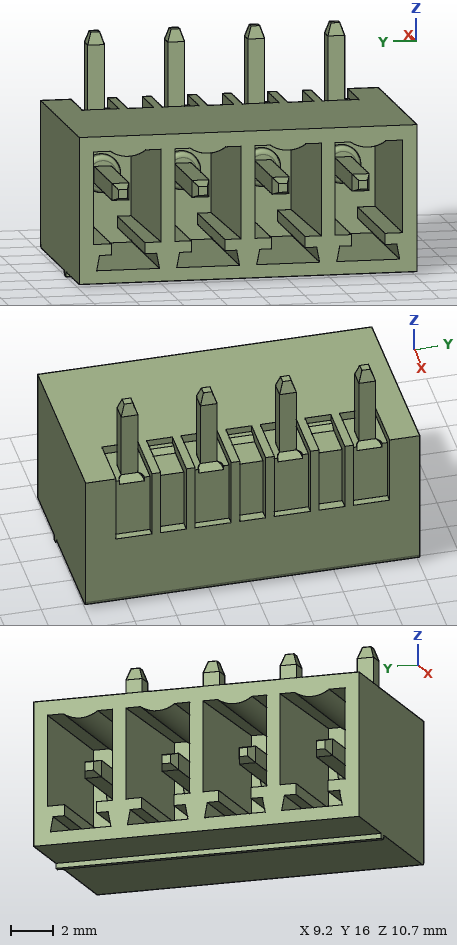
import cadquery as cq


DEPTH = 9.2
WIDTH = 16.04
HEIGHT = 6.98
REAR_FILLET = 0.22

RIDGE_X = 3.16
RIDGE_WIDTH = 0.42
RIDGE_HEIGHT = 0.24
RIDGE_CHAMFER = 0.16

PIN_COUNT = 4
PITCH = 3.8
PIN_WIDTH = 0.8
PIN_TIP_WIDTH = 0.42
PIN_TAPER = 0.58
PIN_TOP_Z = HEIGHT + 3.43
PIN_LEG_X = 7.97
PIN_CONTACT_Z = 3.98
PIN_FRONT_X = 1.22

CAVITY_DEPTH = 6.51
CAVITY_TOP_Z = 6.27
CAVITY_HALF_FRONT = 1.57
CAVITY_HALF_BACK = 1.45
CAVITY_HALF_END = 1.64
RAIL_TOP_Z = 1.88
RAIL_BOTTOM_Z = 1.35
RAIL_GAP = 1.59
KEYWAY_FLOOR_Z = 0.63
KEYWAY_TOP_WIDTH = 2.71
KEYWAY_FLOOR_WIDTH = 2.98
KEY_RADIUS = 1.46
KEY_DROP = 0.27

COLLAR_DIAMETER = 1.8
COLLAR_HEIGHT = 0.48
COLLAR_FILLET = 0.24

SLOT_FRONT_X = CAVITY_DEPTH
REAR_RECESS_Z = PIN_CONTACT_Z - PIN_WIDTH / 2
PIN_SLOT_WIDTH = 1.73
PIN_SLOT_DEPTH = 0.4
PIN_SLOT_FLOOR_END_X = 8.82
RAMP_WIDTH = 1.19
RAMP_SIDE_BULGE = 0.06
RAMP_DROP = 0.21
SPACER_SLOT_WIDTH = 1.24
SPACER_SLOT_DEPTH = 0.51
SPACER_STEP_DEPTH = 0.32
SPACER_STEP_END_X = 6.78
SPACER_SLOPE_END_X = 7.1
SPACER_FLOOR_END_X = 8.71

pin_row_half = PITCH * (PIN_COUNT - 1) / 2
pin_positions = [i * PITCH - pin_row_half for i in range(PIN_COUNT)]
spacer_positions = [y + PITCH / 2 for y in pin_positions[:-1]]


def box(x_range, y_range, z_range):
    """Axis-aligned block between the given limits."""
    lows, highs = zip(x_range, y_range, z_range)
    sizes = [high - low for low, high in zip(lows, highs)]
    return cq.Workplane("XY").box(*sizes, centered=False).translate(lows)


def extrude_along_y(points, y, width):
    """Prism from an X-Z outline, centred on y."""
    return cq.Workplane("XZ").polyline(points).close().extrude(width / 2, both=True).translate((0, y, 0))


def make_housing():
    """Plain block with a rounded rear bottom edge and the locking ridge."""
    block = box((0, DEPTH), (-WIDTH / 2, WIDTH / 2), (0, HEIGHT))
    block = block.edges(">X and <Z").fillet(REAR_FILLET)
    ridge_end_x = RIDGE_X + RIDGE_WIDTH
    ridge = extrude_along_y(
        [
            (RIDGE_X, 0),
            (RIDGE_X, -RIDGE_HEIGHT),
            (ridge_end_x - RIDGE_CHAMFER, -RIDGE_HEIGHT),
            (ridge_end_x, RIDGE_CHAMFER - RIDGE_HEIGHT),
            (ridge_end_x, 0),
        ],
        0,
        WIDTH,
    )
    return block.union(ridge)


def make_cavity(y):
    """Chamber with drafted divider walls, a rounded key in its roof and a keyway below two rails."""
    is_first = y == pin_positions[0]
    is_last = y == pin_positions[-1]
    low_front, low_back = CAVITY_HALF_FRONT, CAVITY_HALF_BACK
    high_front, high_back = CAVITY_HALF_FRONT, CAVITY_HALF_BACK
    if is_first:
        low_front = low_back = CAVITY_HALF_END
    if is_last:
        high_front = high_back = CAVITY_HALF_END
    chamber = (
        cq.Workplane("XY")
        .polyline([(0, -low_front), (CAVITY_DEPTH, -low_back), (CAVITY_DEPTH, high_back), (0, high_front)])
        .close()
        .extrude(CAVITY_TOP_Z - RAIL_TOP_Z)
        .translate((0, 0, RAIL_TOP_Z))
    )
    key_centre_z = CAVITY_TOP_Z - KEY_DROP + KEY_RADIUS
    key = cq.Workplane("YZ").center(0, key_centre_z).circle(KEY_RADIUS).extrude(CAVITY_DEPTH)
    keyway = (
        cq.Workplane("YZ")
        .polyline(
            [
                (-KEYWAY_FLOOR_WIDTH / 2, KEYWAY_FLOOR_Z),
                (KEYWAY_FLOOR_WIDTH / 2, KEYWAY_FLOOR_Z),
                (KEYWAY_TOP_WIDTH / 2, RAIL_BOTTOM_Z),
                (RAIL_GAP / 2, RAIL_BOTTOM_Z),
                (RAIL_GAP / 2, RAIL_TOP_Z),
                (-RAIL_GAP / 2, RAIL_TOP_Z),
                (-RAIL_GAP / 2, RAIL_BOTTOM_Z),
                (-KEYWAY_TOP_WIDTH / 2, RAIL_BOTTOM_Z),
            ]
        )
        .close()
        .extrude(CAVITY_DEPTH)
    )
    return chamber.cut(key).union(keyway).translate((0, y, 0))


def make_pin_slot(y):
    """Shallow slot around a pin leg, with a flared ramp behind the leg and a deep rear recess."""
    floor_z = HEIGHT - PIN_SLOT_DEPTH
    y_range = (y - PIN_SLOT_WIDTH / 2, y + PIN_SLOT_WIDTH / 2)
    slot = box((SLOT_FRONT_X, DEPTH), y_range, (floor_z, HEIGHT))
    recess = box((PIN_SLOT_FLOOR_END_X, DEPTH), y_range, (REAR_RECESS_Z, HEIGHT))
    ramp_start_x = PIN_LEG_X + PIN_WIDTH / 2
    ramp_middle_x = (ramp_start_x + PIN_SLOT_FLOOR_END_X) / 2
    ramp_middle_half = (PIN_WIDTH + RAMP_WIDTH) / 4 + RAMP_SIDE_BULGE
    flare = (
        cq.Workplane("XY", origin=(0, y, 0))
        .moveTo(ramp_start_x, -PIN_WIDTH / 2)
        .threePointArc((ramp_middle_x, -ramp_middle_half), (PIN_SLOT_FLOOR_END_X, -RAMP_WIDTH / 2))
        .lineTo(PIN_SLOT_FLOOR_END_X, RAMP_WIDTH / 2)
        .threePointArc((ramp_middle_x, ramp_middle_half), (ramp_start_x, PIN_WIDTH / 2))
        .close()
        .extrude(HEIGHT)
    )
    wedge = extrude_along_y(
        [
            (ramp_start_x, floor_z),
            (PIN_SLOT_FLOOR_END_X, floor_z - RAMP_DROP),
            (PIN_SLOT_FLOOR_END_X, floor_z),
        ],
        y,
        PIN_SLOT_WIDTH,
    )
    return slot.union(recess).union(wedge.intersect(flare))


def make_spacer_slot(y):
    """Slot between two pins: a step, a gentle slope, a flat floor and a deep rear recess."""
    step_z = HEIGHT - SPACER_STEP_DEPTH
    floor_z = HEIGHT - SPACER_SLOT_DEPTH
    outline = [
        (SLOT_FRONT_X, HEIGHT),
        (SLOT_FRONT_X, step_z),
        (SPACER_STEP_END_X, step_z),
        (SPACER_SLOPE_END_X, floor_z),
        (SPACER_FLOOR_END_X, floor_z),
        (SPACER_FLOOR_END_X, REAR_RECESS_Z),
        (DEPTH, REAR_RECESS_Z),
        (DEPTH, HEIGHT),
    ]
    return extrude_along_y(outline, y, SPACER_SLOT_WIDTH)


def make_collar(y):
    """Round collar on the back wall of a cavity, with a rounded front rim."""
    return (
        cq.Workplane("YZ", origin=(CAVITY_DEPTH, y, PIN_CONTACT_Z))
        .circle(COLLAR_DIAMETER / 2)
        .extrude(-COLLAR_HEIGHT)
        .faces("<X")
        .edges()
        .fillet(COLLAR_FILLET)
    )


def make_bar(length):
    """Square bar standing on the origin along Z, tapered to a small square tip."""
    shank_length = length - PIN_TAPER
    shank = cq.Workplane("XY").rect(PIN_WIDTH, PIN_WIDTH).extrude(shank_length)
    tip = (
        cq.Workplane("XY", origin=(0, 0, shank_length))
        .rect(PIN_WIDTH, PIN_WIDTH)
        .workplane(offset=PIN_TAPER)
        .rect(PIN_TIP_WIDTH, PIN_TIP_WIDTH)
        .loft()
    )
    return shank.union(tip)


def make_pin(y):
    """Right-angled pin: a contact pointing to the mating face and a leg rising through the top."""
    bend_z = PIN_CONTACT_Z - PIN_WIDTH / 2
    bend_x = PIN_LEG_X + PIN_WIDTH / 2
    leg = make_bar(PIN_TOP_Z - bend_z).translate((PIN_LEG_X, y, bend_z))
    contact = make_bar(bend_x - PIN_FRONT_X).rotate((0, 0, 0), (0, 1, 0), -90)
    return leg.union(contact.translate((bend_x, y, PIN_CONTACT_Z)))


result = make_housing()
for pin_y in pin_positions:
    result = result.cut(make_cavity(pin_y)).cut(make_pin_slot(pin_y))
for spacer_y in spacer_positions:
    result = result.cut(make_spacer_slot(spacer_y))
for pin_y in pin_positions:
    result = result.union(make_collar(pin_y)).union(make_pin(pin_y))